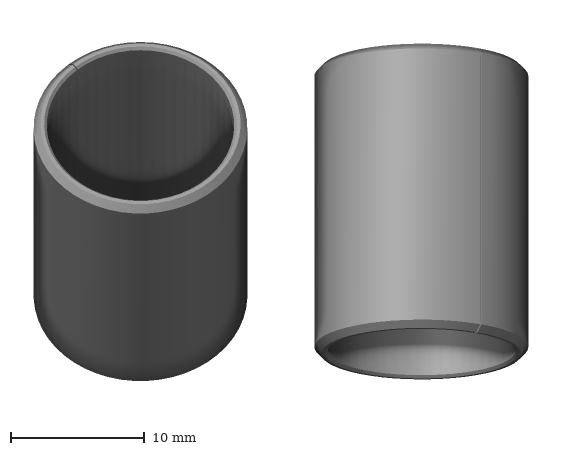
import cadquery as cq

length = 22.0
outer_diameter = 16.0
wall = 1.0
outer_chamfer = 0.5
inner_chamfer = 0.2
slit_angle = 0.7

outer_radius = outer_diameter / 2
inner_radius = outer_radius - wall
half_length = length / 2


def wall_section():
    """Chamfered cross-section of the wall on the -X side of the axis."""
    outer_rim = outer_radius - outer_chamfer
    inner_rim = inner_radius + inner_chamfer
    outer_side = half_length - outer_chamfer
    inner_side = half_length - inner_chamfer
    outline = [
        (-outer_rim, -half_length),
        (-outer_radius, -outer_side),
        (-outer_radius, outer_side),
        (-outer_rim, half_length),
        (-inner_rim, half_length),
        (-inner_radius, inner_side),
        (-inner_radius, -inner_side),
        (-inner_rim, -half_length),
    ]
    return cq.Workplane("XZ").polyline(outline).close()


result = wall_section().revolve(360 - slit_angle, (0, 0), (0, 1))